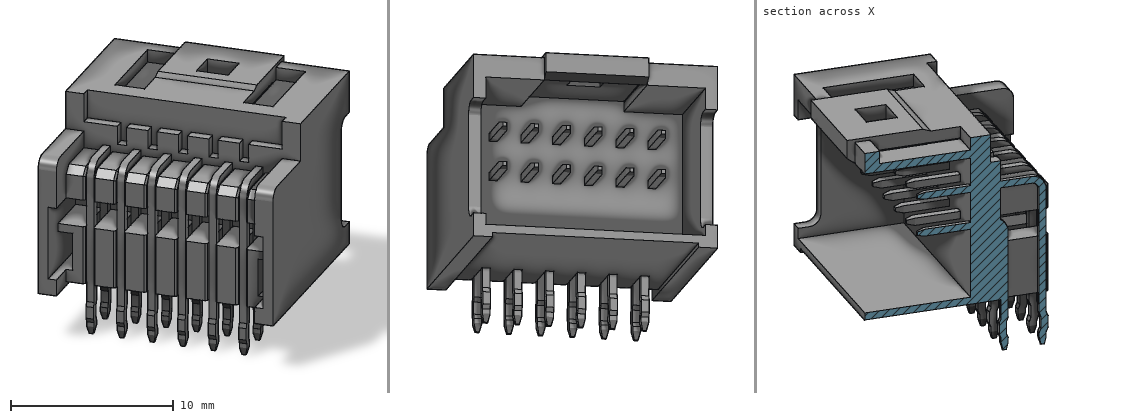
import cadquery as cq
import math


WIDTH = 15.4
DEPTH = 14.0
HEIGHT = 11.55
SIDE_WALL = 1.2
WALL_FRONT_TOP = 9.05
CORNER_RADIUS = 0.75
HOUSING_BOTTOM = 0.26
INNER_WIDTH = WIDTH - 2 * SIDE_WALL

PIN_COUNT = 6
PIN_PITCH = 2.0
PIN = 0.5
PIN_BEND_RADIUS = 1.0
FRONT_TAIL_Y = 2.3
ROW_SPACING = 2.5
REAR_TAIL_Y = FRONT_TAIL_Y + ROW_SPACING
UPPER_BAR_Z = 8.07
LOWER_BAR_Z = UPPER_BAR_Z - ROW_SPACING
MATING_TIP_Y = 10.55
TAIL_LENGTH = 3.15
TIP_LENGTH = 0.51
TIP_WIDTH = 0.25
KINK_OFFSET = 0.12
KINK_START_Z = -0.99
KINK_END_Z = -2.34
KINK_RUN = 0.3

BLOCK_FRONT = REAR_TAIL_Y + PIN / 2

RECESS_DEPTH = 0.66
RECESS_BOTTOM = 9.69
NOTCH_WIDTH = 0.6
NOTCH_BOTTOM = 8.49

COMB_FRONT = 1.8
COMB_TOP = 7.95
COMB_CHAMFER = 0.5
GAP_TOP = 5.87
GAP_BOTTOM = 4.08
SLOT_WIDTH = 0.54
SLOT_CHAMFER = 0.12

POCKET_INSET = 0.54
EAR_BOTTOM = 3.54
EAR_POCKET_BOTTOM = 1.08
EAR_POCKET_INSET = 0.42

CAVITY_SIDE_WALL = 0.77
CAVITY_FLOOR = 0.77
CAVITY_DEPTH = 6.95
SIDE_NOTCH_DEPTH = 1.5
SIDE_NOTCH_BOTTOM = 1.46
SIDE_NOTCH_TOP = 8.8

LATCH_WIDTH = 6.48
LATCH_RISE = 0.2
LATCH_BACK = DEPTH + 0.51
LATCH_TOP = HEIGHT + LATCH_RISE
LATCH_TOP_FRONT = DEPTH - 4.48
LATCH_RAMP_FRONT = DEPTH - 4.99
KEYWAY_TOP = 10.78
HOOK_EDGE_Z = 10.53
HOOK_LOW_Z = 10.13
WINDOW_WIDTH = 2.08
WINDOW_FRONT = DEPTH - 3.6
WINDOW_BACK = DEPTH - 1.59
RELIEF_HALF_SPAN = 5.17
RELIEF_DEPTH = 0.83
RELIEF_FRONT = DEPTH - CAVITY_DEPTH
RELIEF_BACK = DEPTH - 1.0

PIN_XS = [(i - (PIN_COUNT - 1) / 2) * PIN_PITCH for i in range(PIN_COUNT)]
GAP_XS = [x + PIN_PITCH / 2 for x in PIN_XS[:-1]]


def box(x0, x1, y0, y1, z0, z1):
    """A box between two corners."""
    return cq.Workplane("XY").box(x1 - x0, y1 - y0, z1 - z0, centered=False).translate((x0, y0, z0))


def side_profile(points, x0, x1):
    """A closed (Y, Z) outline extruded from x0 to x1."""
    return cq.Workplane("YZ").polyline(points).close().extrude(x1 - x0).translate((x0, 0, 0))


def housing():
    """Main block between two side walls that run on to the front."""
    body = box(-INNER_WIDTH / 2, INNER_WIDTH / 2, BLOCK_FRONT, DEPTH, HOUSING_BOTTOM, HEIGHT)
    outline = [
        (0, 0),
        (DEPTH, 0),
        (DEPTH, HEIGHT),
        (BLOCK_FRONT, HEIGHT),
        (BLOCK_FRONT, WALL_FRONT_TOP),
        (0, WALL_FRONT_TOP),
    ]
    for x0 in (-WIDTH / 2, INNER_WIDTH / 2):
        wall = side_profile(outline, x0, x0 + SIDE_WALL)
        body = body.union(wall.edges("|X").edges("<Y").edges(">Z").fillet(CORNER_RADIUS))
    return body


def front_recess():
    """Shallow recess along the top front edge with a notch between neighbouring pins."""
    back = BLOCK_FRONT + RECESS_DEPTH
    recess = box(-INNER_WIDTH / 2, INNER_WIDTH / 2, BLOCK_FRONT, back, RECESS_BOTTOM, HEIGHT)
    for x in GAP_XS:
        x0 = x - NOTCH_WIDTH / 2
        recess = recess.union(box(x0, x0 + NOTCH_WIDTH, BLOCK_FRONT, back, NOTCH_BOTTOM, HEIGHT))
    return recess


def wall_pockets():
    """Pockets cut into the inner faces of the side walls, open to the front."""
    half = INNER_WIDTH / 2 + POCKET_INSET
    return box(-half, half, 0, BLOCK_FRONT, EAR_POCKET_BOTTOM, GAP_TOP)


def comb_row(outline, chamfered_edges):
    """A row of guide blocks, chamfered along the edges that face the pin slots."""
    slot_edges = [x + side * SLOT_WIDTH / 2 for x in PIN_XS for side in (-1, 1)]
    limits = [-INNER_WIDTH / 2] + slot_edges + [INNER_WIDTH / 2]
    row = cq.Workplane("XY")
    for x0, x1 in zip(limits[::2], limits[1::2]):
        block = side_profile(outline, x0, x1)
        if x0 > limits[0]:
            block = block.faces("<X").edges(chamfered_edges).chamfer(SLOT_CHAMFER)
        if x1 < limits[-1]:
            block = block.faces(">X").edges(chamfered_edges).chamfer(SLOT_CHAMFER)
        row = row.union(block)
    return row


def upper_comb():
    """Guide blocks above the gap, bevelled along the top front."""
    outline = [
        (COMB_FRONT, GAP_TOP),
        (BLOCK_FRONT, GAP_TOP),
        (BLOCK_FRONT, COMB_TOP),
        (COMB_FRONT + COMB_CHAMFER, COMB_TOP),
        (COMB_FRONT, COMB_TOP - COMB_CHAMFER),
    ]
    return comb_row(outline, "not (>Y or <Z)")


def lower_comb():
    """Guide blocks below the gap; the end blocks reach into the wall pockets as ears."""
    outline = [
        (COMB_FRONT, HOUSING_BOTTOM),
        (BLOCK_FRONT, HOUSING_BOTTOM),
        (BLOCK_FRONT, GAP_BOTTOM),
        (COMB_FRONT, GAP_BOTTOM),
    ]
    comb = comb_row(outline, "<Y")
    wall_x = INNER_WIDTH / 2
    outer_x = wall_x + POCKET_INSET
    inner_x = wall_x - EAR_POCKET_INSET
    for side in (-1, 1):
        ear_xs = sorted((side * wall_x, side * outer_x))
        cut_xs = sorted((side * inner_x, side * outer_x))
        comb = comb.union(box(*ear_xs, COMB_FRONT, BLOCK_FRONT, EAR_BOTTOM, GAP_BOTTOM))
        comb = comb.cut(box(*cut_xs, COMB_FRONT, BLOCK_FRONT, EAR_POCKET_BOTTOM, EAR_BOTTOM))
    return comb


def mating_cavity():
    """Cavity open to the back, with a keyway under the latch."""
    front = DEPTH - CAVITY_DEPTH
    half = WIDTH / 2 - CAVITY_SIDE_WALL
    cavity = box(-half, half, front, DEPTH, CAVITY_FLOOR, HOOK_LOW_Z)
    return cavity.union(box(-LATCH_WIDTH / 2, LATCH_WIDTH / 2, front, DEPTH, HOOK_LOW_Z, KEYWAY_TOP))


def side_notches():
    """Rounded notch through the back edges of both side walls."""
    y0 = DEPTH - SIDE_NOTCH_DEPTH
    notch = box(-WIDTH / 2, WIDTH / 2, y0, DEPTH, SIDE_NOTCH_BOTTOM, SIDE_NOTCH_TOP)
    return notch.edges("|X").edges("<Y").fillet(CORNER_RADIUS)


def latch_reliefs():
    """Blind pockets in the top face on both sides of the latch."""
    floor = HEIGHT - RELIEF_DEPTH
    span = box(-RELIEF_HALF_SPAN, RELIEF_HALF_SPAN, RELIEF_FRONT, RELIEF_BACK, floor, HEIGHT)
    return span.cut(box(-LATCH_WIDTH / 2, LATCH_WIDTH / 2, RELIEF_FRONT, RELIEF_BACK, floor, HEIGHT))


def latch():
    """Raised plate that overhangs the back, with a ramped hook underneath."""
    outline = [
        (LATCH_RAMP_FRONT, HEIGHT),
        (LATCH_TOP_FRONT, LATCH_TOP),
        (LATCH_BACK, LATCH_TOP),
        (LATCH_BACK, HOOK_EDGE_Z),
        (DEPTH, HOOK_LOW_Z),
        (WINDOW_BACK, HOOK_EDGE_Z),
        (WINDOW_BACK, KEYWAY_TOP),
        (LATCH_RAMP_FRONT, KEYWAY_TOP),
    ]
    return side_profile(outline, -LATCH_WIDTH / 2, LATCH_WIDTH / 2)


def latch_window():
    """Square hole through the latch into the cavity."""
    half = WINDOW_WIDTH / 2
    return box(-half, half, WINDOW_FRONT, WINDOW_BACK, HOOK_LOW_Z, LATCH_TOP)


def pin(tail_y, bar_z, kink):
    """A bent square pin at X = 0: kinked tail, round bend, horizontal bar, tapered tips.

    The tail is kinked towards -Y or +Y by the signed distance kink.
    """
    front = tail_y - PIN / 2
    back = tail_y + PIN / 2
    top = bar_z + PIN / 2
    bottom = bar_z - PIN / 2
    bend_y = front + PIN_BEND_RADIUS
    bend_z = top - PIN_BEND_RADIUS
    inner_radius = PIN_BEND_RADIUS - PIN
    diagonal = math.sqrt(0.5)
    tip_z = TIP_LENGTH - TAIL_LENGTH
    bar_end = MATING_TIP_Y - TIP_LENGTH

    kink_path = [
        (0, KINK_START_Z),
        (kink, KINK_START_Z - KINK_RUN),
        (kink, KINK_END_Z + KINK_RUN),
        (0, KINK_END_Z),
    ]
    outline = cq.Workplane("YZ").moveTo(front, tip_z)
    for shift, z in reversed(kink_path):
        outline = outline.lineTo(front + shift, z)
    outline = (
        outline.lineTo(front, bend_z)
        .threePointArc(
            (bend_y - diagonal * PIN_BEND_RADIUS, bend_z + diagonal * PIN_BEND_RADIUS),
            (bend_y, top),
        )
        .lineTo(bar_end, top)
        .lineTo(bar_end, bottom)
        .lineTo(bend_y, bottom)
        .threePointArc(
            (bend_y - diagonal * inner_radius, bend_z + diagonal * inner_radius),
            (back, bend_z),
        )
    )
    for shift, z in kink_path:
        outline = outline.lineTo(back + shift, z)
    shank = outline.lineTo(back, tip_z).close().extrude(PIN / 2, both=True)

    taper = math.degrees(math.atan((PIN - TIP_WIDTH) / 2 / TIP_LENGTH))
    tip = cq.Workplane("XY").rect(PIN, PIN).extrude(TIP_LENGTH, taper=taper)
    tail_tip = tip.rotate((0, 0, 0), (1, 0, 0), 180).translate((0, tail_y, tip_z))
    mating_tip = tip.rotate((0, 0, 0), (1, 0, 0), -90).translate((0, bar_end, bar_z))
    return shank.union(tail_tip).union(mating_tip)


result = (
    housing()
    .cut(front_recess())
    .cut(wall_pockets())
    .union(upper_comb())
    .union(lower_comb())
    .cut(mating_cavity())
    .cut(side_notches())
    .cut(latch_reliefs())
    .union(latch())
    .cut(latch_window())
)

front_pin = pin(FRONT_TAIL_Y, UPPER_BAR_Z, -KINK_OFFSET)
rear_pin = pin(REAR_TAIL_Y, LOWER_BAR_Z, KINK_OFFSET)
for pin_x in PIN_XS:
    result = result.union(front_pin.translate((pin_x, 0, 0)))
    result = result.union(rear_pin.translate((pin_x, 0, 0)))